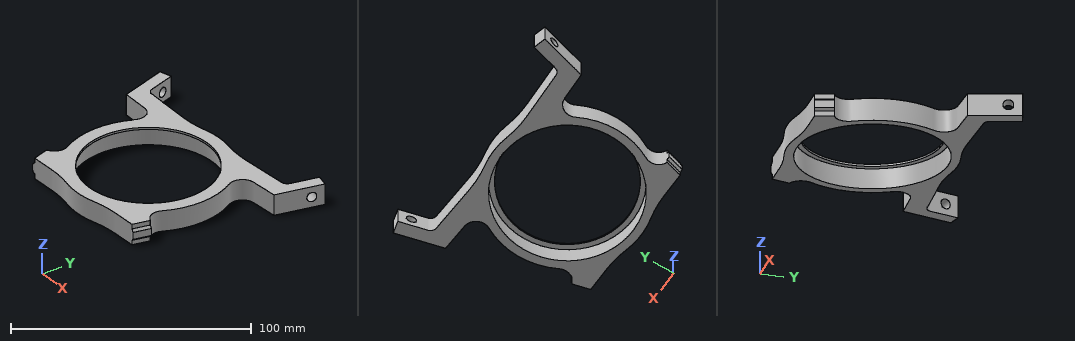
import cadquery as cq
import math

thickness = 10.0
ring_outer_radius = 36.8
lip_radius = 30.2
lip_thickness = 1.0
recess_radius = 32.7

blend_radius = 50.0
neck_radius = 6.0
neck_angle = 28.6

half_width = 56.4
back_y = 50.8
arm_width = 6.0
lean = math.radians(15)
beam_slope = math.radians(2.5)
beam_depth = 8.9
elbow_radius = 3.0
front_edge_y = -34.1
foot_corner_y = -26.1

hole_diameter = 4.4
hole_from_tip = 6.0

tongue_base = 5.5
tongue_crest = 3.4
tongue_height = 1.1


def along(point, direction, distance):
    return (point[0] + direction[0] * distance, point[1] + direction[1] * distance)


def dot(a, b):
    return a[0] * b[0] + a[1] * b[1]


def meet(point_a, normal_a, point_b, normal_b):
    """Intersection of two lines, each given by a point and a normal."""
    offset_a = dot(point_a, normal_a)
    offset_b = dot(point_b, normal_b)
    det = normal_a[0] * normal_b[1] - normal_a[1] * normal_b[0]
    x = (offset_a * normal_b[1] - offset_b * normal_a[1]) / det
    y = (normal_a[0] * offset_b - normal_b[0] * offset_a) / det
    return (x, y)


def arc_middle(center, start, end, radius):
    """Middle point of the short arc from start to end."""
    half = ((start[0] + end[0]) / 2 - center[0], (start[1] + end[1]) / 2 - center[1])
    return along(center, half, radius / math.hypot(*half))


def ring_blend(edge_normal, edge_offset):
    """Edge end, arc middle and ring end of the left-hand blend from a straight edge to the ring."""
    height = edge_offset + blend_radius
    reach = ring_outer_radius + blend_radius
    side = math.sqrt(reach**2 - height**2)
    leftward = (-abs(edge_normal[1]), edge_normal[0])
    center = along((edge_normal[0] * height, edge_normal[1] * height), leftward, side)
    edge_end = along(center, edge_normal, -blend_radius)
    ring_end = along((0, 0), center, ring_outer_radius / reach)
    return edge_end, arc_middle(center, edge_end, ring_end, blend_radius), ring_end


arm_up = (-math.sin(lean), math.cos(lean))
arm_inward = (math.cos(lean), math.sin(lean))
foot_down = (math.sin(lean), -math.cos(lean))
foot_outward = (-math.cos(lean), -math.sin(lean))
beam_normal = (math.sin(beam_slope), math.cos(beam_slope))

angle = math.radians(neck_angle)
neck_reach = ring_outer_radius + neck_radius
upper_neck_center = (-neck_reach * math.cos(angle), neck_reach * math.sin(angle))
lower_neck_center = (upper_neck_center[0], -upper_neck_center[1])
upper_neck_ring = along((0, 0), upper_neck_center, ring_outer_radius / neck_reach)
lower_neck_ring = (upper_neck_ring[0], -upper_neck_ring[1])
upper_neck_beam = along(upper_neck_center, beam_normal, neck_radius)

arm_tip_outer = (-half_width, back_y - arm_width * math.sin(lean))
arm_tip_inner = along(arm_tip_outer, arm_inward, arm_width)
elbow_outer = meet(arm_tip_outer, arm_inward, upper_neck_beam, beam_normal)
beam_top = along(upper_neck_beam, beam_normal, beam_depth)
elbow_inner = meet(arm_tip_inner, arm_inward, beam_top, beam_normal)

foot_drop = lower_neck_center[1] - foot_corner_y
foot_corner = (lower_neck_center[0] + math.sqrt(neck_radius**2 - foot_drop**2), foot_corner_y)
foot_length = (foot_corner_y - front_edge_y) / math.cos(lean)
foot_front = along(foot_corner, foot_down, foot_length)

back_edge_end, back_blend_middle, back_ring_end = ring_blend(beam_normal, dot(beam_top, beam_normal))
front_edge_end, front_blend_middle, front_ring_end = ring_blend((0, -1), -front_edge_y)


def make_left_frame():
    """Left half of the plate, filled across the bore."""
    frame = (
        cq.Workplane("XY")
        .moveTo(0, 0)
        .lineTo(0, ring_outer_radius)
        .threePointArc(
            arc_middle((0, 0), (0, ring_outer_radius), back_ring_end, ring_outer_radius),
            back_ring_end,
        )
        .threePointArc(back_blend_middle, back_edge_end)
        .lineTo(*elbow_inner)
        .lineTo(*arm_tip_inner)
        .lineTo(*arm_tip_outer)
        .lineTo(*elbow_outer)
        .lineTo(*upper_neck_beam)
        .threePointArc((upper_neck_center[0] + neck_radius, upper_neck_center[1]), upper_neck_ring)
        .threePointArc((-ring_outer_radius, 0), lower_neck_ring)
        .threePointArc((lower_neck_center[0] + neck_radius, lower_neck_center[1]), foot_corner)
        .lineTo(*foot_front)
        .lineTo(*front_edge_end)
        .threePointArc(front_blend_middle, front_ring_end)
        .threePointArc(
            arc_middle((0, 0), front_ring_end, (0, -ring_outer_radius), ring_outer_radius),
            (0, -ring_outer_radius),
        )
        .close()
        .extrude(thickness)
    )
    elbow_edge = cq.selectors.NearestToPointSelector((*elbow_inner, thickness / 2))
    return frame.edges("|Z").edges(elbow_edge).fillet(elbow_radius)


def make_arm_hole():
    """Cutter running square through the left arm at mid thickness."""
    start = along(arm_tip_outer, arm_up, -hole_from_tip)
    return cq.Workplane(
        cq.Solid.makeCylinder(
            hole_diameter / 2,
            arm_width,
            cq.Vector(*start, thickness / 2),
            cq.Vector(*arm_inward, 0),
        )
    )


def make_tongue():
    """Trapezoidal tongue along the end face of the left foot."""
    section_plane = cq.Plane(
        origin=(*foot_corner, thickness / 2),
        xDir=(*foot_outward, 0),
        normal=(*foot_down, 0),
    )
    section = [
        (0, -tongue_base / 2),
        (tongue_height, -tongue_crest / 2),
        (tongue_height, tongue_crest / 2),
        (0, tongue_base / 2),
    ]
    return cq.Workplane(section_plane).polyline(section).close().extrude(foot_length)


def make_bore():
    """Cutter for the stepped bore: the lip opening and the wider recess below it."""
    opening = cq.Workplane("XY").circle(lip_radius).extrude(thickness)
    recess = cq.Workplane("XY").circle(recess_radius).extrude(thickness - lip_thickness)
    return opening.union(recess)


left_half = make_left_frame().cut(make_arm_hole()).union(make_tongue())
result = left_half.union(left_half.mirror("YZ")).cut(make_bore())